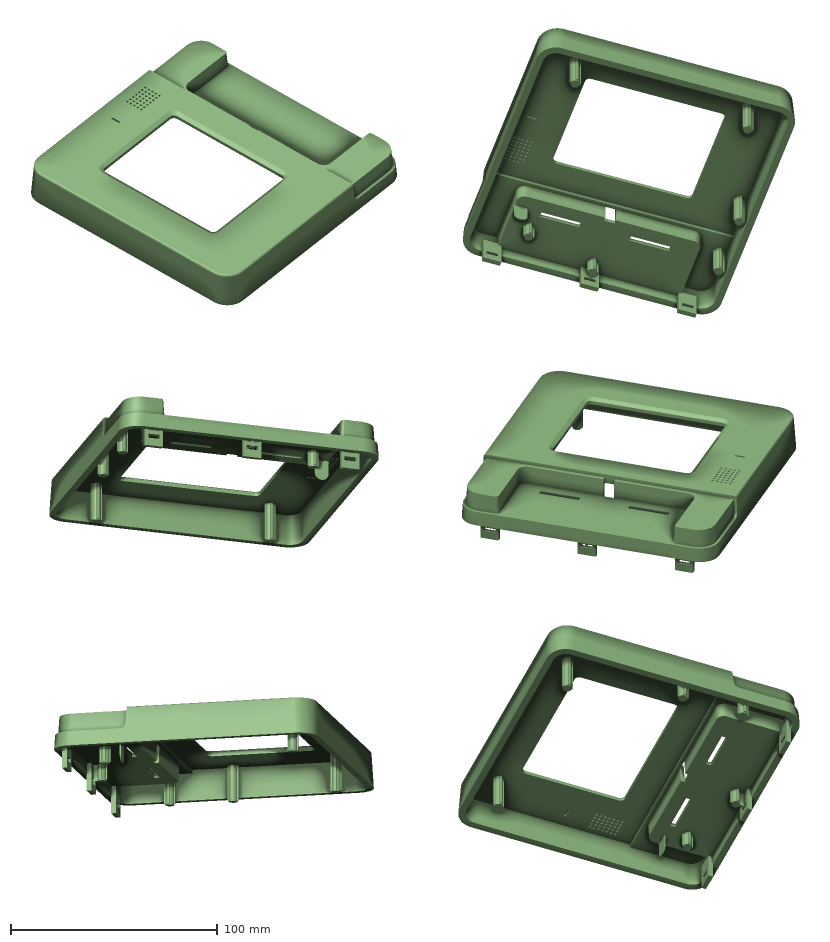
import cadquery as cq
import math

side = 131.6
rim_height = 0.5
top_z = 18.0
draft = 3.0
rim_radius = 9.9
top_radius = 10.3
top_fillet = 1.0
top_thickness = 3.0
wall = 2.0

step_y = 27.8
step_lean = 0.5
step_fillet = 2.6
tower_z = 16.3
ledge_z = 7.2
ledge_width = 1.5

pocket_width = 89.5
pocket_front_y = 30.3
pocket_radius = 4.0
pocket_draft = 3.4
tower_corner_fillet = 1.3
corner_search = 1.0
floor_thickness = 2.0
cable_slot_width = 20.4
cable_slot_length = 2.6
cable_slot_x = 22.9
cable_slot_y = 36.5
notch_width = 5.5

window_width = 71.4
window_length = 53.7
window_y = -15.3
window_radius = 2.4
bevel_width = 2.1
bevel_depth = 1.2

grille_columns = 5
grille_rows = 7
grille_pitch = 2.2
grille_hole = 1.0
grille_x = -53.2
grille_y = 9.7
slit_width = 4.9
slit_length = 1.0
slit_y = -10.9

tab_xs = (-49.9, 0.0, 49.9)
tab_width = 9.2
tab_thickness = 2.4
tab_y = 61.3
tab_bottom = -8.3
tab_slot_width = 5.9
tab_slot_height = 2.1
tab_slot_z = -3.3

post_diameter = 4.3
fin_span = 5.4
fin_thickness = 1.0
fin_setback = 0.5
short_post_bottom = -2.9
long_post_bottom = -4.1
short_posts = ((0.0, 56.0), (-36.2, 45.4), (57.8, 36.2), (57.8, 4.6))
long_posts = ((-44.1, -50.3), (44.1, -50.3))

web_end_y = 63.2
web_thickness = 1.0
tongue_x = -43.7
tongue_y = 35.3
tongue_radius = 3.4
tongue_thickness = 0.5
tongue_bottom = -4.7

beyond = side


def block(x0, x1, y0, y1, z0, z1):
    return cq.Workplane("XY").box(x1 - x0, y1 - y0, z1 - z0, centered=False).translate((x0, y0, z0))


def rounded_square(size, radius):
    return cq.Sketch().rect(size, size).vertices().fillet(radius)


def drafted_block(inset, height):
    """Housing outline moved inwards, with its straight rim and leaning walls."""
    rim_size = side - 2 * inset
    lean = (top_z - rim_height) * math.tan(math.radians(draft))
    lower = rounded_square(rim_size, rim_radius - inset)
    upper = rounded_square(rim_size - 2 * lean, top_radius - inset)
    rim = cq.Workplane("XY").placeSketch(lower).extrude(rim_height)
    walls = (
        cq.Workplane("XY")
        .placeSketch(lower.moved(cq.Location((0, 0, rim_height))), upper.moved(cq.Location((0, 0, top_z))))
        .loft()
    )
    return rim.union(walls).intersect(block(-side, side, -side, side, 0, height))


def pocket_tool(floor_z, growth):
    """Flared pocket, open to the rear; growth moves its walls outwards."""
    width = pocket_width + 2 * growth
    front = pocket_front_y - growth
    outline = (
        cq.Workplane("XY", origin=(0, front + beyond / 2, floor_z))
        .sketch()
        .rect(width, beyond)
        .vertices("<Y")
        .fillet(pocket_radius)
        .finalize()
    )
    return outline.extrude(top_z - floor_z, taper=-pocket_draft)


def rear_step_tool():
    """Everything behind the step and above the ledge."""
    foot_y = step_y + step_lean
    bend = step_fillet * (1 - math.cos(math.radians(45)))
    return (
        cq.Workplane("YZ", origin=(-side, 0, 0))
        .moveTo(step_y, top_z + beyond)
        .lineTo(step_y, tower_z)
        .lineTo(foot_y, ledge_z + step_fillet)
        .threePointArc((foot_y + bend, ledge_z + bend), (foot_y + step_fillet, ledge_z))
        .lineTo(beyond, ledge_z)
        .lineTo(beyond, top_z + beyond)
        .close()
        .extrude(2 * side)
    )


def outer_body():
    body = drafted_block(0, top_z).faces(">Z").edges().fillet(top_fillet)
    towers = drafted_block(ledge_width, tower_z)
    body = body.cut(rear_step_tool().cut(towers)).cut(pocket_tool(ledge_z, 0))
    for sign in (-1, 1):
        near_corner = cq.selectors.BoxSelector(
            (sign * (pocket_width / 2 - corner_search), side / 2 - 2 * ledge_width - corner_search, ledge_z),
            (sign * (pocket_width / 2 + corner_search), side / 2, tower_z),
        )
        body = body.edges(near_corner).edges("not #Z").fillet(tower_corner_fillet)
    return body


def cavity():
    space = drafted_block(ledge_width + wall, top_z - top_thickness)
    rear_roof = block(-side, side, step_y - wall, side, tower_z - top_thickness, top_z)
    return space.cut(rear_roof).cut(pocket_tool(ledge_z - floor_thickness, wall))


def window_tool():
    def opening(growth):
        return (
            cq.Sketch()
            .rect(window_width + 2 * growth, window_length + 2 * growth)
            .vertices()
            .fillet(window_radius + growth)
        )

    bevel_foot = top_z - bevel_depth
    through = cq.Workplane("XY").placeSketch(opening(0)).extrude(top_z)
    bevel = (
        cq.Workplane("XY")
        .placeSketch(
            opening(0).moved(cq.Location((0, 0, bevel_foot))),
            opening(bevel_width).moved(cq.Location((0, 0, top_z))),
        )
        .loft()
    )
    return through.union(bevel).translate((0, window_y, 0))


def top_openings():
    """Grille, microphone slit, two cable slots and the notch in the pocket's front wall."""
    start = cq.Workplane("XY")
    grille = (
        start.center(grille_x, grille_y)
        .rarray(grille_pitch, grille_pitch, grille_columns, grille_rows)
        .rect(grille_hole, grille_hole)
        .extrude(top_z)
    )
    slit = start.center(grille_x, slit_y).rect(slit_width, slit_length).extrude(top_z)
    slots = (
        start.pushPoints([(-cable_slot_x, cable_slot_y), (cable_slot_x, cable_slot_y)])
        .rect(cable_slot_width, cable_slot_length)
        .extrude(top_z)
    )
    notch = block(-notch_width / 2, notch_width / 2, step_y, pocket_front_y, 0, top_z)
    return grille.add(slit).add(slots).add(notch).combine()


def tab(x):
    plate = block(
        x - tab_width / 2,
        x + tab_width / 2,
        tab_y - tab_thickness / 2,
        tab_y + tab_thickness / 2,
        tab_bottom,
        ledge_z - floor_thickness / 2,
    )
    slot = cq.Workplane("XY").box(tab_slot_width, 2 * tab_thickness, tab_slot_height)
    return plate.cut(slot.translate((x, tab_y, tab_slot_z)))


def post(x, y, bottom):
    core = cq.Workplane("XY").circle(post_diameter / 2).extrude(top_z - bottom)
    fins = (
        cq.Workplane("XY", origin=(0, 0, fin_setback))
        .rect(fin_span, fin_thickness)
        .extrude(top_z - bottom - fin_setback)
    )
    crossed_fins = fins.union(fins.rotate((0, 0, 0), (0, 0, 1), 90))
    return core.union(crossed_fins).translate((x, y, bottom))


def posts():
    """All posts, trimmed to end inside the roof above them."""
    group = cq.Workplane("XY")
    for x, y in short_posts:
        group = group.union(post(x, y, short_post_bottom))
    for x, y in long_posts:
        group = group.union(post(x, y, long_post_bottom))
    web_y = short_posts[0][1]
    group = group.union(
        block(-web_thickness / 2, web_thickness / 2, web_y, web_end_y, short_post_bottom, ledge_z)
    )
    pocket_space = pocket_tool(ledge_z - floor_thickness / 2, wall / 2)
    rear_space = block(-side, side, step_y, side, tower_z - top_thickness / 2, top_z)
    main_space = block(-side, side, -side, side, top_z - top_thickness / 2, top_z)
    return group.cut(pocket_space).cut(rear_space).cut(main_space)


def tongue():
    centre_z = tongue_bottom + tongue_radius
    half = tongue_thickness / 2
    plate = block(
        tongue_x - tongue_radius,
        tongue_x + tongue_radius,
        tongue_y - half,
        tongue_y + half,
        centre_z,
        ledge_z - floor_thickness / 2,
    )
    round_end = (
        cq.Workplane("XZ", origin=(tongue_x, tongue_y + half, centre_z))
        .circle(tongue_radius)
        .extrude(tongue_thickness)
    )
    return plate.union(round_end)


housing = outer_body().cut(cavity()).union(posts()).union(tongue())
for tab_x in tab_xs:
    housing = housing.union(tab(tab_x))
result = housing.cut(window_tool()).cut(top_openings())